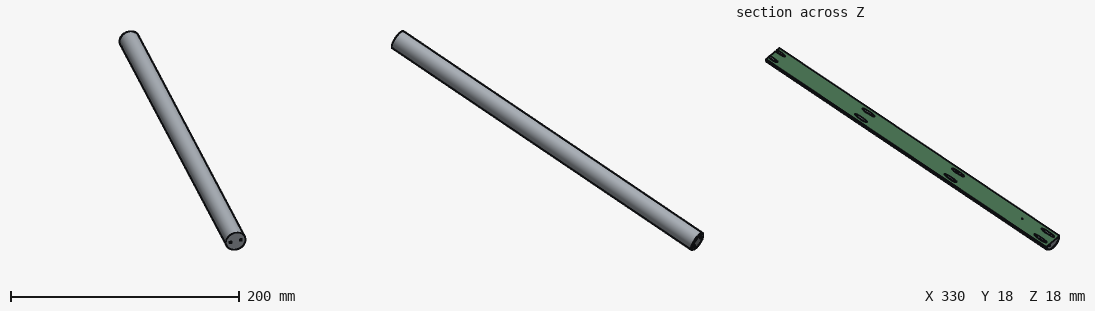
import cadquery as cq
import math

rod_length = 330.0
rod_diameter = 18.0
end_chamfer = 0.9

bore_count = 2
bore_diameter = 2.0
bore_pitch_diameter = 9.4
bore_start_angle = -18.0
helix_angle = 15.0
helix_lead = math.pi * rod_diameter / math.tan(math.radians(helix_angle))
bore_twist = 360 * rod_length / helix_lead


def start_plane():
    """Workplane on the -X end of the rod, facing +X."""
    return cq.Workplane("YZ", origin=(-rod_length / 2, 0, 0))


def make_rod():
    """Solid round bar with its -X rim chamfered."""
    bar = start_plane().circle(rod_diameter / 2).extrude(rod_length)
    return bar.faces("<X").chamfer(end_chamfer)


def make_bores():
    """Cutters that wind about the rod axis from end to end."""
    return (
        start_plane()
        .polarArray(bore_pitch_diameter / 2, bore_start_angle, 360, bore_count)
        .circle(bore_diameter / 2)
        .twistExtrude(rod_length, bore_twist)
    )


result = make_rod().cut(make_bores())